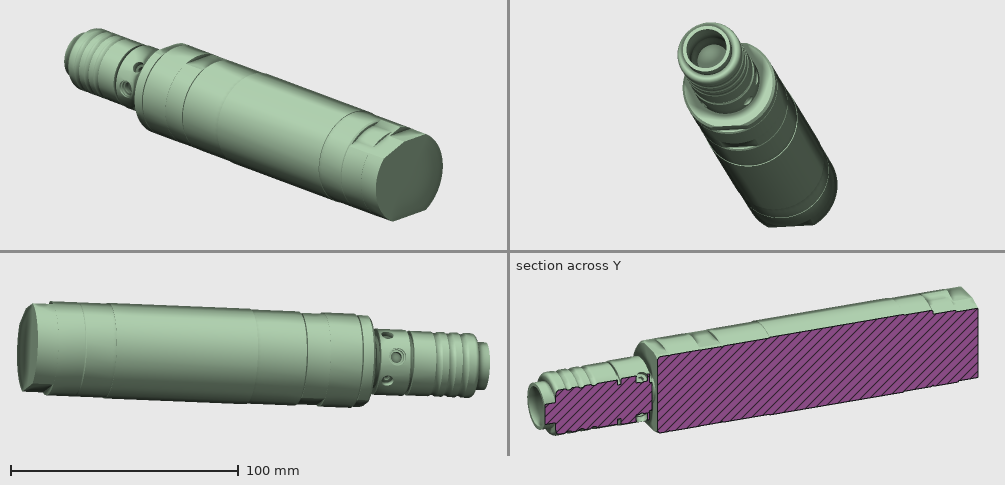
import cadquery as cq

OVERALL_LENGTH = 206.2

NOSE_DIAMETER = 21.0
BORE_DIAMETER = 18.0
BORE_DEPTH = 16.5
BORE_FLOOR_DIAMETER = 14.0
BORE_TAPER_LENGTH = 4.1
GRIP_START = 5.2
GRIP_END = 34.8
GRIP_DIAMETER = 28.5
GRIP_FILLET = 1.9

GROOVE_COUNT = 3
FIRST_GROOVE_CENTER = 11.5
GROOVE_PITCH = 6.0
GROOVE_WIDTH = 3.0
GROOVE_DEPTH = 0.6

RELIEF_DIAMETER = 25.0
COLLAR_START = 36.0
COLLAR_CHAMFER = 0.6
COLLAR_END = 50.0
COLLAR_DIAMETER = 29.0
RING_END = 51.1
RING_DIAMETER = 23.0
NECK_STEP = 52.8
NECK_DIAMETER = 14.0
NECK_FLANGE_DIAMETER = 15.0

SIDE_HOLE_X = 42.7
SIDE_HOLE_DIAMETER = 6.5
SIDE_RIM_DIAMETER = 7.8
SIDE_RIM_DEPTH = 1.0
SIDE_HOLE_DEPTH = 2.0
SIDE_SOCKET_DIAMETER = 5.0
SIDE_SOCKET_DEPTH = 4.1
SCREW_X = 46.2
SCREW_ANGLES = (45, 135, 225, 315)
SCREW_HOLE_DIAMETER = 5.4
SCREW_HOLE_DEPTH = 2.5
SCREW_SOCKET_SIZE = 2.9
SCREW_SOCKET_DEPTH = 4.5

TUBE_DIAMETER = 42.0
BODY_DIAMETER = 41.5
WAIST_DIAMETER = 41.2
BODY_START = 53.6
BODY_CHAMFER = 1.0
BAND_START = 59.2
BAND_END = 74.0
FRONT_SLEEVE_START = 84.3
TUBE_START = 107.0
TUBE_END = 170.7
REAR_SLEEVE_END = 184.8
EDGE_CHAMFER = 0.6
FRONT_FLATS_ACROSS = 38.0

WRENCH_START = 197.0
WRENCH_DIAMETER = 41.2
WRENCH_FLATS_ACROSS = 35.9
TILT_ANGLE = 20.0
KEY_DIAMETER = 38.0
KEY_END = 195.7


def cylinder(start, end, diameter):
    """Solid round stage along X between two stations."""
    return cq.Workplane("YZ", origin=(start, 0, 0)).circle(diameter / 2).extrude(end - start)


def outside_flat(start, end, distance):
    """Block of material lying above Z = distance, between two X stations."""
    size = TUBE_DIAMETER
    block = cq.Workplane("XY").box(end - start, size, size, centered=(False, True, False))
    return block.translate((start, 0, distance))


def turn(shape, angle):
    """Turn a shape about the X axis."""
    return shape.rotate((0, 0, 0), (1, 0, 0), angle)


def cut_two_flats(body, start, end, across):
    """Cut a parallel pair of flats at +Z and -Z."""
    flat = outside_flat(start, end, across / 2)
    return body.cut(flat).cut(turn(flat, 180))


def make_plug():
    nose = cylinder(0, GRIP_START, NOSE_DIAMETER)
    grip = cylinder(GRIP_START, GRIP_END, GRIP_DIAMETER).faces("<X").edges().fillet(GRIP_FILLET)
    plug = nose.union(grip).cut(make_bore())
    for index in range(GROOVE_COUNT):
        plug = plug.cut(grip_groove(FIRST_GROOVE_CENTER + index * GROOVE_PITCH))
    return plug


def make_bore():
    """Straight blind bore whose last stretch tapers down to a smaller flat floor."""
    straight_end = BORE_DEPTH - BORE_TAPER_LENGTH
    taper = (
        cq.Workplane("YZ", origin=(straight_end, 0, 0))
        .circle(BORE_DIAMETER / 2)
        .workplane(offset=BORE_TAPER_LENGTH)
        .circle(BORE_FLOOR_DIAMETER / 2)
        .loft()
    )
    return cylinder(0, straight_end, BORE_DIAMETER).union(taper)


def grip_groove(center):
    """Ring with an arc-shaped bottom that is removed from the grip."""
    radius = GRIP_DIAMETER / 2
    rim = radius + GROOVE_DEPTH
    left = center - GROOVE_WIDTH / 2
    right = center + GROOVE_WIDTH / 2
    return (
        cq.Workplane("XY")
        .moveTo(left, rim)
        .lineTo(left, radius)
        .threePointArc((center, radius - GROOVE_DEPTH), (right, radius))
        .lineTo(right, rim)
        .close()
        .revolve(360, (0, 0, 0), (1, 0, 0))
    )


def make_collar():
    relief = cylinder(GRIP_END, COLLAR_START, RELIEF_DIAMETER)
    collar = cylinder(COLLAR_START, COLLAR_END, COLLAR_DIAMETER)
    collar = collar.faces("<X").edges().chamfer(COLLAR_CHAMFER)
    ring = cylinder(COLLAR_END, RING_END, RING_DIAMETER)
    neck = cylinder(RING_END, NECK_STEP, NECK_DIAMETER)
    neck_flange = cylinder(NECK_STEP, BODY_START, NECK_FLANGE_DIAMETER)

    side_hole = make_side_hole()
    collar = collar.cut(side_hole).cut(turn(side_hole, 180))
    screw_hole = make_screw_hole()
    for angle in SCREW_ANGLES:
        collar = collar.cut(turn(screw_hole, angle))
    return relief.union(collar).union(ring).union(neck).union(neck_flange)


def make_side_hole():
    """Blind hole with a wider rim and a smaller socket, entering from -Y."""
    surface = COLLAR_DIAMETER / 2
    entry = cq.Workplane("XZ", origin=(SIDE_HOLE_X, -surface, 0))
    hole = entry.circle(SIDE_HOLE_DIAMETER / 2).extrude(-SIDE_HOLE_DEPTH)
    socket = entry.circle(SIDE_SOCKET_DIAMETER / 2).extrude(-SIDE_SOCKET_DEPTH)
    rim = entry.circle(SIDE_RIM_DIAMETER / 2).extrude(-SIDE_RIM_DEPTH)
    return hole.union(socket).union(rim)


def make_screw_hole():
    """Hole with a sunken hexagon-socket set screw, entering from +Z."""
    entry = cq.Workplane("XY", origin=(SCREW_X, 0, COLLAR_DIAMETER / 2))
    hole = entry.circle(SCREW_HOLE_DIAMETER / 2).extrude(-SCREW_HOLE_DEPTH)
    socket = entry.polygon(6, SCREW_SOCKET_SIZE).extrude(-SCREW_SOCKET_DEPTH)
    return hole.union(socket)


def make_body():
    front = cylinder(BODY_START, BAND_START, BODY_DIAMETER).faces("<X").edges().chamfer(BODY_CHAMFER)
    front = cut_two_flats(front, BODY_START, BAND_START, FRONT_FLATS_ACROSS)
    band = cylinder(BAND_START, BAND_END, BODY_DIAMETER).faces("<X").edges().chamfer(EDGE_CHAMFER)
    waist = cylinder(BAND_END, FRONT_SLEEVE_START, WAIST_DIAMETER)
    waist = cut_two_flats(waist, BAND_END, FRONT_SLEEVE_START, FRONT_FLATS_ACROSS)
    tube = cylinder(TUBE_START, TUBE_END, TUBE_DIAMETER)
    front_sleeve = cylinder(FRONT_SLEEVE_START, TUBE_START, BODY_DIAMETER)
    front_sleeve = front_sleeve.faces("<X").edges().chamfer(EDGE_CHAMFER)
    rear_sleeve = cylinder(TUBE_END, REAR_SLEEVE_END, BODY_DIAMETER)
    rear_sleeve = rear_sleeve.faces(">X").edges().chamfer(EDGE_CHAMFER)
    return front.union(band).union(waist).union(front_sleeve).union(tube).union(rear_sleeve)


def make_wrench_end():
    shoulder = cylinder(REAR_SLEEVE_END, WRENCH_START, BODY_DIAMETER)
    wrench = cylinder(WRENCH_START, OVERALL_LENGTH, WRENCH_DIAMETER)
    wrench = cut_two_flats(wrench, WRENCH_START, OVERALL_LENGTH, WRENCH_FLATS_ACROSS)
    tilted_flat = outside_flat(REAR_SLEEVE_END, OVERALL_LENGTH, WRENCH_FLATS_ACROSS / 2)
    key = cylinder(REAR_SLEEVE_END, KEY_END, KEY_DIAMETER)
    return shoulder.union(wrench).cut(turn(tilted_flat.cut(key), TILT_ANGLE))


result = make_plug().union(make_collar()).union(make_body()).union(make_wrench_end())